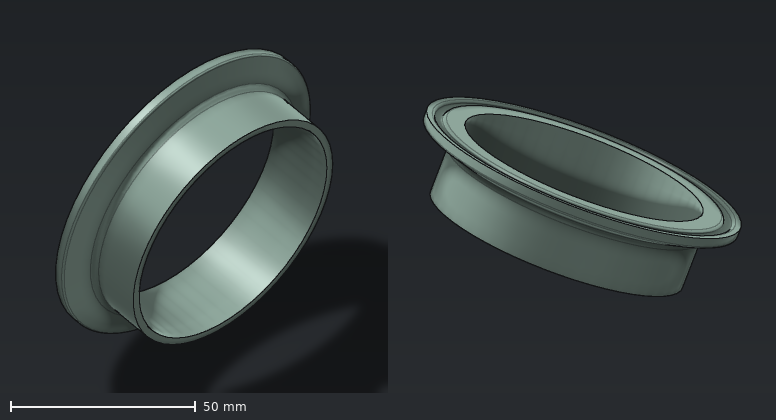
import cadquery as cq
import math

length = 21.5
flange_radius = 45.5
tube_radius = 36.6
bore_radius = 34.4

rim_width = 2.9
clamp_angle = 20.0
rim_fillet = 0.6
neck_fillet = 2.0

groove_center_radius = 41.81
groove_half_width = 2.05
groove_depth = 1.59
lip_width = 0.9


def ferrule_body():
    """Flange and tube with a through bore."""
    slope_length = (flange_radius - tube_radius) * math.tan(math.radians(clamp_angle))
    neck_x = rim_width + slope_length
    body = (
        cq.Workplane("XY")
        .moveTo(0, bore_radius)
        .lineTo(0, flange_radius)
        .lineTo(rim_width, flange_radius)
        .lineTo(neck_x, tube_radius)
        .lineTo(length, tube_radius)
        .lineTo(length, bore_radius)
        .close()
        .revolve(360, (0, 0, 0), (1, 0, 0))
    )
    rim_edge = cq.selectors.RadiusNthSelector(-1)
    body = body.edges(rim_edge).edges(">X").fillet(rim_fillet)
    neck_box = cq.selectors.BoxSelector(
        (neck_x - neck_fillet, -flange_radius, -flange_radius),
        (neck_x + neck_fillet, flange_radius, flange_radius),
    )
    return body.edges("%CIRCLE").edges(neck_box).fillet(neck_fillet)


def gasket_groove():
    """Ring with the shape of the groove, its arcs tangent to each other and to the face."""
    wall_angle = 2 * math.atan(groove_depth / groove_half_width)
    lip_radius = lip_width / math.sin(wall_angle)
    bottom_radius = (groove_half_width - lip_width) / math.sin(wall_angle)
    lip_depth = lip_radius * (1 - math.cos(wall_angle))
    lip_mid_depth = lip_radius * (1 - math.cos(wall_angle / 2))
    lip_mid_offset = groove_half_width - lip_radius * math.sin(wall_angle / 2)
    bottom_offset = bottom_radius * math.sin(wall_angle)

    inner_edge = (0, groove_center_radius - groove_half_width)
    inner_lip_mid = (lip_mid_depth, groove_center_radius - lip_mid_offset)
    inner_lip_end = (lip_depth, groove_center_radius - bottom_offset)
    bottom = (groove_depth, groove_center_radius)
    outer_lip_end = (lip_depth, groove_center_radius + bottom_offset)
    outer_lip_mid = (lip_mid_depth, groove_center_radius + lip_mid_offset)
    outer_edge = (0, groove_center_radius + groove_half_width)
    return (
        cq.Workplane("XY")
        .moveTo(*inner_edge)
        .threePointArc(inner_lip_mid, inner_lip_end)
        .threePointArc(bottom, outer_lip_end)
        .threePointArc(outer_lip_mid, outer_edge)
        .close()
        .revolve(360, (0, 0, 0), (1, 0, 0))
    )


result = ferrule_body().cut(gasket_groove())